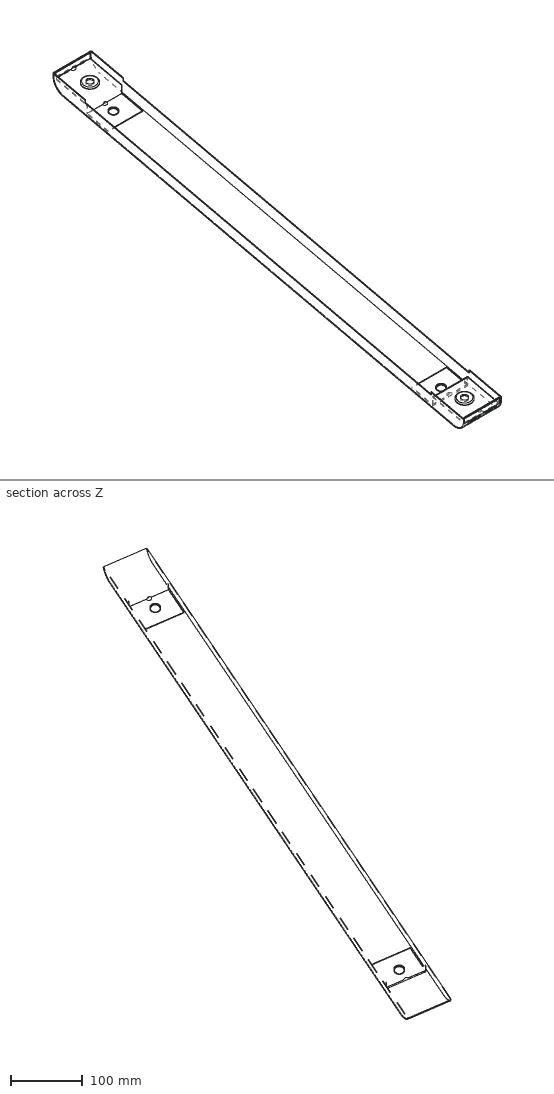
import cadquery as cq

length = 900.0
width = 70.0
end_height = 30.0

sheet = 1.35
wall_height = 24.0
raised_length = 71.0
end_radius = 22.5
edge_radius = 2.0

slot_length = 22.0
slot_height = 2.0
slot_offset = 14.85
slot_level = 18.0

bracket_width = 63.0
bracket_length = 117.0
deck_height = 19.0
deck_length = 72.0
bend_radius = 2.0
gusset_radius = 4.05

hole_from_end = 91.0
channel_hole = 13.5
bracket_hole = 15.0

nut_from_end = 40.0
nut_diameter = 27.0
nut_bore = 12.0
nut_height = 3.0
nut_chamfer = 2.0

half_length = length / 2
end_signs = (-1, 1)


def rail_block(inset):
    """Solid block bounded by the channel's end, side and bottom faces, each moved in by `inset`."""
    end_x = half_length - inset
    radius = end_radius - inset
    return (
        cq.Workplane("XZ")
        .moveTo(-end_x, end_height)
        .lineTo(-end_x, end_radius)
        .radiusArc((-end_x + radius, inset), -radius)
        .lineTo(end_x - radius, inset)
        .radiusArc((end_x, end_radius), -radius)
        .lineTo(end_x, end_height)
        .close()
        .extrude(width / 2 - inset, both=True)
    )


def make_channel():
    outside = rail_block(0).faces("<Z").edges("|X").fillet(edge_radius)
    channel = outside.cut(rail_block(sheet))

    low_length = length - 2 * raised_length
    above_walls = cq.Workplane("XY", origin=(0, 0, wall_height)).box(
        low_length, width, end_height, centered=(True, True, False)
    )

    hole_x = half_length - hole_from_end
    holes = (
        cq.Workplane("XY")
        .pushPoints([(sign * hole_x, 0) for sign in end_signs])
        .circle(channel_hole / 2)
        .extrude(end_height)
    )
    slots = (
        cq.Workplane("YZ")
        .pushPoints([(sign * slot_offset, slot_level) for sign in end_signs])
        .rect(slot_length, slot_height)
        .extrude(half_length, both=True)
    )
    return channel.cut(above_walls).cut(holes).cut(slots)


def make_gusset(wall_x, base_z):
    """Half cone in the corner of a bend, standing on the sheet on the +X side of a wall."""
    foot = cq.Vector(wall_x, 0, base_z)
    cone = cq.Workplane(cq.Solid.makeCone(gusset_radius, 0, gusset_radius, pnt=foot))
    beyond_wall = cq.Workplane("XY", origin=(wall_x, 0, base_z)).box(
        gusset_radius, 2 * gusset_radius, gusset_radius, centered=(False, True, False)
    )
    return cone.intersect(beyond_wall)


def make_bracket(end_sign):
    """Bracket shaped for the -X end and mirrored for the +X end."""
    outer_x = -half_length + sheet
    inner_x = outer_x + sheet
    riser_x = -half_length + deck_length
    foot_x = -half_length + bracket_length
    foot_top = 2 * sheet
    deck_bottom = deck_height - sheet
    folded = (
        cq.Workplane("XZ")
        .moveTo(outer_x, end_height)
        .lineTo(inner_x, end_height)
        .lineTo(inner_x, deck_height)
        .lineTo(riser_x - bend_radius, deck_height)
        .radiusArc((riser_x, deck_height - bend_radius), bend_radius)
        .lineTo(riser_x, foot_top)
        .lineTo(foot_x, foot_top)
        .lineTo(foot_x, sheet)
        .lineTo(riser_x - sheet, sheet)
        .lineTo(riser_x - sheet, deck_height - bend_radius)
        .radiusArc((riser_x - bend_radius, deck_bottom), sheet - bend_radius)
        .lineTo(outer_x + bend_radius, deck_bottom)
        .radiusArc((outer_x, deck_bottom + bend_radius), bend_radius)
        .close()
        .extrude(bracket_width / 2, both=True)
    )
    hole = (
        cq.Workplane("XY", origin=(-half_length + hole_from_end, 0, 0))
        .circle(bracket_hole / 2)
        .extrude(deck_bottom)
    )
    bracket = folded.union(make_gusset(inner_x, deck_height))
    bracket = bracket.union(make_gusset(riser_x, foot_top)).cut(hole)

    bracket = bracket.intersect(rail_block(sheet))
    return bracket if end_sign < 0 else bracket.mirror("YZ")


def make_nut(end_sign):
    nut_x = end_sign * (half_length - nut_from_end)
    blank = (
        cq.Workplane("XY", origin=(nut_x, 0, deck_height))
        .circle(nut_diameter / 2)
        .extrude(nut_height)
        .faces(">Z")
        .chamfer(nut_chamfer)
    )
    return blank.faces(">Z").workplane().hole(nut_bore)


channel = make_channel()
brackets = [make_bracket(sign) for sign in end_signs]
nuts = [make_nut(sign) for sign in end_signs]

result = cq.Compound.makeCompound(
    [
        channel.val(),
        *[bracket.val() for bracket in brackets],
        *[nut.val() for nut in nuts],
    ]
)